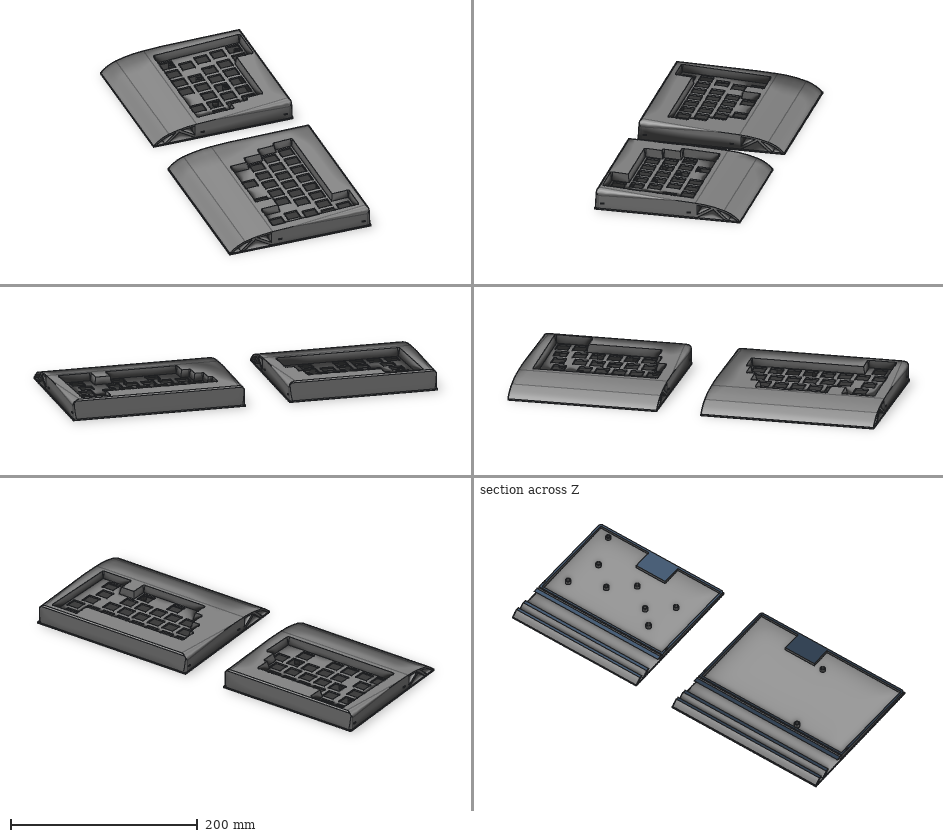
import cadquery as cq
import math


TOTAL_WIDTH = 403.8
TOTAL_LENGTH = 161.0
LEFT_WIDTH = 164.0
LEFT_LENGTH = 159.0
RIGHT_START = 213.0
RIGHT_OVERHANG = 0.5
RIGHT_WIDTH = TOTAL_WIDTH - RIGHT_START - RIGHT_OVERHANG
RIGHT_LENGTH = TOTAL_LENGTH - RIGHT_OVERHANG

TOP_TILT = math.radians(3.8)
PLATE_TILT = math.radians(1.1)

BACK_HEIGHT = 26.1
BACK_CHAMFER = 1.5
CORNER_RADIUS = 3.5
SIDE_ROUND = 7.3
SIDE_ROUND_LENGTH = 89.0
SIDE_ROUND_END = 0.1
SIDE_WALL = 3.0
FRONT_WALL = 3.0
BACK_WALL = 1.5
SLOT = (3.5, 1.0, 1.0)
SLOTS = [(-8.0, 9.9), (-103.0, 7.45)]

KEY_PITCH = 19.05
KEY_HOLE = 14.0
LEFT_POCKET = (9.0, 2.0)
RIGHT_POCKET = (8.0, 1.5)
KEY_PLATE = 1.5

LEFT_KEYS = [
    [0, 1],
    [0.125, 1.25, 2.25, 3.25, 4.25, 5.25],
    [0.25, 1.5, 2.5, 3.5, 4.5, 5.5],
    [0.5, 2, 3, 4, 5, 6],
    [0, 1, 2, 3, 5],
]
RIGHT_KEYS = [
    [6.75],
    [0, 1, 2, 3, 4, 5, 6, 7],
    [0.25, 1.25, 2.25, 3.25, 4.25, 5.25, 6.625],
    [0.75, 1.75, 2.75, 3.75, 4.75, 6.375],
    [2.25, 4.25, 6.625],
]

LEFT_OUTLINE = [
    (-0.5, 0.5), (1.5, 0.5), (1.5, -0.5), (5.75, -0.5), (5.75, -1.5),
    (6, -1.5), (6, -2.5), (6.5, -2.5), (6.5, -4.5), (-0.5, -4.5),
]
RIGHT_OUTLINE = [
    (6, 0.5), (7.5, 0.5), (7.5, -4.5), (5.75, -4.5), (5.75, -3.5), (4.75, -3.5),
    (4.75, -4.5), (0.75, -4.5), (0.75, -3.5), (0.25, -3.5), (0.25, -2.5),
    (-0.25, -2.5), (-0.25, -1.5), (-0.5, -1.5), (-0.5, -0.5), (6, -0.5),
]

LEFT_FIRST_KEY = (25.5, -17.0)
RIGHT_FIRST_KEY = (34.0, -20.0)

PALM_LENGTH = 49.0
CROWN = (17.5, 12.7)
ARCH = 2.0
PALM_WALL = 47.2
STRUT = 3.0
STRUT_APEX = (29.0, 14.5)
STRUT_FEET = [(50.0, 2.5), (15.5, 2.5)]

PLATE = 1.5
POST_DIAMETER = 6.0
POST_HOLE = 3.0
POST_HEIGHT = 5.0
LEFT_POSTS = [
    (-0.4, 0.35), (0.35, -1.6), (3.05, -1.6), (5.75, -1.6),
    (1.7, -2.7), (4.4, -2.7), (-0.3, -3.6), (5.3, -3.6),
]
RIGHT_POSTS = [(3.5, -0.3), (4.75, -4.45)]

BLOCK_WIDTH = 38.8
BLOCK_FRONT = -26.2
LEFT_BLOCK_X = 85.5
RIGHT_BLOCK_X = 70.3


def top_height(y):
    return BACK_HEIGHT + y * math.tan(TOP_TILT)


def plate_top(y, length):
    return PLATE + (y + length) * math.tan(PLATE_TILT)


def top_plane(x_start, depth=0.0):
    """Plane parallel to the key surface and `depth` below it."""
    normal = (0, -math.sin(TOP_TILT), math.cos(TOP_TILT))
    plane = cq.Plane(origin=(x_start, 0, BACK_HEIGHT), xDir=(1, 0, 0), normal=normal)
    return cq.Workplane(plane).workplane(offset=-depth)


def side_profile(x_start):
    """Workplane for outlines in Y and Z, extruded toward +X."""
    return cq.Workplane("YZ", origin=(x_start, 0, 0))


def outer_body(x_start, width, length):
    """Wedge with a leaning back, an arched front and rounded upright back corners."""
    front = -length
    back_lean = BACK_HEIGHT * math.tan(TOP_TILT)
    arch_start = front + PALM_LENGTH
    wedge = (
        side_profile(x_start)
        .moveTo(0, plate_top(0, length))
        .lineTo(-back_lean, top_height(-back_lean))
        .lineTo(arch_start, top_height(arch_start))
        .tangentArcPoint((front + CROWN[0], CROWN[1]), relative=False)
        .tangentArcPoint((front, PLATE), relative=False)
        .close()
        .extrude(width)
        .edges("|X and >Z")
        .chamfer(BACK_CHAMFER)
    )
    footprint = (
        cq.Workplane("XY")
        .box(width, length, BACK_HEIGHT, centered=False)
        .edges("|Z and >Y")
        .fillet(CORNER_RADIUS)
        .translate((x_start, front, 0))
    )
    return wedge.intersect(footprint)


def side_rounding(x_side, inward):
    """Material outside a rounding whose radius fades to nothing toward the front."""
    def corner(y, radius):
        x_in = x_side + inward * radius
        low = -radius
        mid = radius * (1 - math.sqrt(0.5))
        plane = cq.Plane(origin=(0, y, top_height(y)), xDir=(1, 0, 0), normal=(0, -1, 0))
        return (
            cq.Workplane(plane)
            .moveTo(x_side, low)
            .threePointArc((x_side + inward * mid, -mid), (x_in, 0))
            .lineTo(x_side, 0)
            .close()
            .val()
        )

    wires = [
        corner(0, SIDE_ROUND),
        corner(-SIDE_ROUND_LENGTH, SIDE_ROUND_END),
    ]
    return cq.Workplane(cq.Solid.makeLoft(wires, True))


def key_pocket(x_start, first_key, outline, depth, lean):
    points = [(first_key[0] + u * KEY_PITCH, first_key[1] + v * KEY_PITCH) for u, v in outline]
    lean_angle = math.degrees(math.atan(lean / depth))
    return (
        top_plane(x_start, depth)
        .polyline(points)
        .close()
        .extrude(depth, taper=-lean_angle)
    )


def key_holes(x_start, first_key, rows, pocket_depth):
    centres = [
        (first_key[0] + column * KEY_PITCH, first_key[1] - row * KEY_PITCH)
        for row, columns in enumerate(rows)
        for column in columns
    ]
    return (
        top_plane(x_start, pocket_depth + KEY_PLATE)
        .pushPoints(centres)
        .rect(KEY_HOLE, KEY_HOLE)
        .extrude(KEY_PLATE)
    )


def cavity(x_start, width, length, pocket_depth, block_x):
    """Space under the key plate and around the controller block, open to the bottom plate."""
    front = -length + PALM_WALL + FRONT_WALL
    back = -BACK_HEIGHT * math.tan(TOP_TILT) - BACK_WALL
    ceiling = (pocket_depth + KEY_PLATE) / math.cos(TOP_TILT)
    points = [
        (back, plate_top(back, length)),
        (back, top_height(back) - ceiling),
        (front, top_height(front) - ceiling),
        (front, plate_top(front, length)),
    ]
    space = side_profile(x_start + SIDE_WALL).polyline(points).close().extrude(width - 2 * SIDE_WALL)
    block = (
        cq.Workplane("XY")
        .box(BLOCK_WIDTH, -BLOCK_FRONT, BACK_HEIGHT, centered=(True, False, False))
        .translate((x_start + block_x, BLOCK_FRONT, 0))
    )
    return space.cut(block)


def side_slots(x_start, width):
    slot_length, slot_height, slot_depth = SLOT
    slots = cq.Workplane("YZ").pushPoints(SLOTS).rect(slot_length, slot_height).extrude(2 * slot_depth)
    left = slots.translate((x_start - slot_depth, 0, 0))
    right = slots.translate((x_start + width - slot_depth, 0, 0))
    return left.union(right)


def strut(x_start, width, foot, apex):
    run = apex[0] - foot[0]
    rise = apex[1] - foot[1]
    plane = cq.Plane(origin=(x_start, *foot), xDir=(0, run, rise), normal=(1, 0, 0))
    span = math.hypot(run, rise)
    return cq.Workplane(plane).center(span / 2, 0).rect(2 * span, STRUT).extrude(width)


def slope_between(behind, ahead):
    return math.atan2(behind[1] - ahead[1], behind[0] - ahead[0])


def below_arch(point, slope):
    """Point on the inside of the arch, square to its outside at `point`."""
    return (point[0] + ARCH * math.sin(slope), point[1] - ARCH * math.cos(slope))


def palm_openings(x_start, width, length):
    """Through openings under the arch, parted by two struts that meet at its crown."""
    front = -length
    lead_in = front + PALM_LENGTH + FRONT_WALL
    arch_start = front + PALM_LENGTH
    crown = (front + CROWN[0], CROWN[1])
    tip = (front, PLATE)
    crown_slope = 2 * slope_between((arch_start, top_height(arch_start)), crown) - TOP_TILT
    tip_slope = 2 * slope_between(crown, tip) - crown_slope
    hollow = (
        side_profile(x_start)
        .moveTo(lead_in, top_height(lead_in) - ARCH)
        .lineTo(arch_start, top_height(arch_start) - ARCH)
        .tangentArcPoint(below_arch(crown, crown_slope), relative=False)
        .tangentArcPoint(below_arch(tip, tip_slope), relative=False)
        .lineTo(lead_in, 0)
        .close()
        .extrude(width)
    )
    wall = (
        cq.Workplane("XY")
        .box(width, PALM_LENGTH, BACK_HEIGHT, centered=False)
        .translate((x_start, front + PALM_WALL, 0))
    )
    hollow = hollow.cut(wall)
    apex = (front + STRUT_APEX[0], STRUT_APEX[1])
    for distance, height in STRUT_FEET:
        hollow = hollow.cut(strut(x_start, width, (front + distance, height), apex))
    return hollow


def make_case(x_start, width, length, first_key, outline, rows, pocket, block_x):
    pocket_depth, pocket_lean = pocket
    return (
        outer_body(x_start, width, length)
        .cut(side_rounding(x_start, 1))
        .cut(side_rounding(x_start + width, -1))
        .cut(key_pocket(x_start, first_key, outline, pocket_depth, pocket_lean))
        .cut(cavity(x_start, width, length, pocket_depth, block_x))
        .cut(key_holes(x_start, first_key, rows, pocket_depth))
        .cut(palm_openings(x_start, width, length))
        .cut(side_slots(x_start, width))
    )


def make_bottom_plate(x_start, width, length, first_key, posts, overhang):
    front = -length - overhang
    drop = plate_top(0, length) - PLATE
    plate = (
        side_profile(x_start)
        .polyline([
            (front, plate_top(front, length) - PLATE),
            (0, drop),
            (0, drop + PLATE),
            (front, plate_top(front, length)),
        ])
        .close()
        .extrude(width + overhang)
    )
    for u, v in posts:
        x = x_start + first_key[0] + u * KEY_PITCH
        y = first_key[1] + v * KEY_PITCH
        base = plate_top(y, length)
        post = (
            cq.Workplane("XY", origin=(x, y, base - PLATE / 2))
            .circle(POST_DIAMETER / 2)
            .extrude(PLATE / 2 + POST_HEIGHT)
        )
        hole = (
            cq.Workplane("XY", origin=(x, y, base))
            .circle(POST_HOLE / 2)
            .extrude(POST_HEIGHT)
        )
        plate = plate.union(post).cut(hole)
    return plate


left_case = make_case(
    0, LEFT_WIDTH, LEFT_LENGTH, LEFT_FIRST_KEY, LEFT_OUTLINE, LEFT_KEYS, LEFT_POCKET, LEFT_BLOCK_X,
)
right_case = make_case(
    RIGHT_START, RIGHT_WIDTH, RIGHT_LENGTH, RIGHT_FIRST_KEY, RIGHT_OUTLINE, RIGHT_KEYS, RIGHT_POCKET,
    RIGHT_BLOCK_X,
)
left_plate = make_bottom_plate(0, LEFT_WIDTH, LEFT_LENGTH, LEFT_FIRST_KEY, LEFT_POSTS, 0)
right_plate = make_bottom_plate(
    RIGHT_START, RIGHT_WIDTH, RIGHT_LENGTH, RIGHT_FIRST_KEY, RIGHT_POSTS, RIGHT_OVERHANG,
)

result = cq.Compound.makeCompound([
    *left_case.vals()[0].Solids(),
    *left_plate.vals()[0].Solids(),
    *right_case.vals()[0].Solids(),
    *right_plate.vals()[0].Solids(),
])